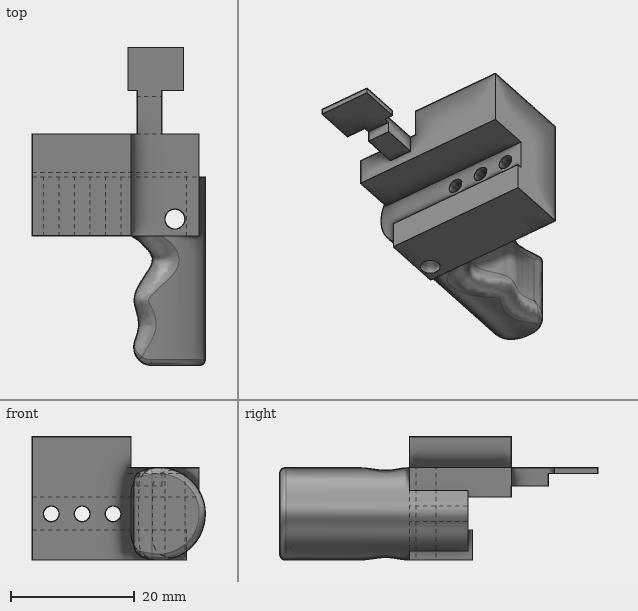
import cadquery as cq


BLOCK_WIDTH = 27.0
BLOCK_DEPTH = 16.5
BLOCK_HEIGHT = 15.0
RAISED_WIDTH = 16.0
TOTAL_HEIGHT = 20.0

BASE_WIDTH = 25.0
BASE_DEPTH = 9.5
OVERHANG_Z = 10.2
LIP_DEPTH = 10.25
LIP_HEIGHT = 4.9

TONGUE_LENGTH = 14.0
TONGUE_END = BLOCK_DEPTH + TONGUE_LENGTH
TAB_LENGTH = 7.0
TAB_LEFT = 15.5
TAB_WIDTH = 9.0
TAB_THICKNESS = 1.0
NECK_LEFT = 17.0
NECK_WIDTH = 4.0
NECK_THICKNESS = 3.0
THICK_NECK_LENGTH = 6.0

FRONT_HOLE_DIAMETER = 2.5
FRONT_HOLE_COUNT = 3
FRONT_HOLE_FIRST_X = 3.1
FRONT_HOLE_PITCH = 5.0
FRONT_HOLE_Z = BLOCK_HEIGHT / 2
TOP_HOLE_DIAMETER = 3.2
TOP_HOLE_X = 23.1
TOP_HOLE_Y = 2.7

HANDLE_RADIUS = BLOCK_HEIGHT / 2
HANDLE_AXIS_X = 20.53
HANDLE_AXIS_Z = BLOCK_HEIGHT / 2
HANDLE_LENGTH = 21.0
GRIP_FILLET = 3.0
END_FILLET = 1.0

GRIP_CURVE = [
    (RAISED_WIDTH, 0),
    (18.2, -1.65),
    (19.45, -3.6),
    (18.2, -6.5),
    (16.5, -10.6),
    (17.25, -14.5),
    (16.6, -17.0),
    (15.2, -HANDLE_LENGTH),
]
GRIP_START_DIRECTION = (1, -0.5)
GRIP_END_DIRECTION = (-0.36, -1)


def box(x, y, z, width, depth, height):
    """Box whose left, front, bottom corner is at (x, y, z)."""
    return cq.Workplane("XY").box(width, depth, height, centered=False).translate((x, y, z))


def make_block():
    upper = box(0, 0, OVERHANG_Z, BLOCK_WIDTH, BLOCK_DEPTH, BLOCK_HEIGHT - OVERHANG_Z)
    raised = box(0, 0, OVERHANG_Z, RAISED_WIDTH, BLOCK_DEPTH, TOTAL_HEIGHT - OVERHANG_Z)
    base = box(0, 0, 0, BASE_WIDTH, BASE_DEPTH, OVERHANG_Z)
    lip = box(0, 0, 0, BASE_WIDTH, LIP_DEPTH, LIP_HEIGHT)
    return upper.union(raised).union(base).union(lip)


def make_tongue():
    tab_z = BLOCK_HEIGHT - TAB_THICKNESS
    tab = box(TAB_LEFT, TONGUE_END - TAB_LENGTH, tab_z, TAB_WIDTH, TAB_LENGTH, TAB_THICKNESS)
    thin_neck = box(NECK_LEFT, BLOCK_DEPTH, tab_z, NECK_WIDTH, TONGUE_LENGTH, TAB_THICKNESS)
    neck_z = BLOCK_HEIGHT - NECK_THICKNESS
    thick_neck = box(NECK_LEFT, BLOCK_DEPTH, neck_z, NECK_WIDTH, THICK_NECK_LENGTH, NECK_THICKNESS)
    return tab.union(thin_neck).union(thick_neck)


def handle_cylinder(y_front, y_back):
    """Round bar of the handle between two Y positions."""
    return (
        cq.Workplane("XZ", origin=(HANDLE_AXIS_X, y_back, HANDLE_AXIS_Z))
        .circle(HANDLE_RADIUS)
        .extrude(y_back - y_front)
    )


def make_grip():
    """Part of the handle in front of the block."""
    plan_right = HANDLE_AXIS_X + 2 * HANDLE_RADIUS
    plan = (
        cq.Workplane("XY")
        .moveTo(*GRIP_CURVE[0])
        .spline(
            GRIP_CURVE[1:],
            tangents=[GRIP_START_DIRECTION, GRIP_END_DIRECTION],
            includeCurrent=True,
        )
        .lineTo(plan_right, -HANDLE_LENGTH)
        .lineTo(plan_right, 0)
        .close()
        .extrude(BLOCK_HEIGHT)
    )
    grip = handle_cylinder(-HANDLE_LENGTH, 0).intersect(plan)
    grip = grip.faces("%EXTRUSION").edges("not >Y").fillet(GRIP_FILLET)
    grip = grip.faces("<Y").edges("%CIRCLE").fillet(END_FILLET)
    return grip


def make_handle_root():
    """Part of the handle sunk into the block, as wide as the grip is where it meets the block."""
    trim = box(RAISED_WIDTH, 0, 0, 2 * HANDLE_RADIUS, BASE_DEPTH, BLOCK_HEIGHT)
    return handle_cylinder(0, BASE_DEPTH).intersect(trim)


def make_front_holes():
    centers = [
        (FRONT_HOLE_FIRST_X + i * FRONT_HOLE_PITCH, FRONT_HOLE_Z)
        for i in range(FRONT_HOLE_COUNT)
    ]
    return (
        cq.Workplane("XZ", origin=(0, BLOCK_DEPTH, 0))
        .pushPoints(centers)
        .circle(FRONT_HOLE_DIAMETER / 2)
        .extrude(BLOCK_DEPTH)
    )


def make_top_hole():
    return (
        cq.Workplane("XY")
        .center(TOP_HOLE_X, TOP_HOLE_Y)
        .circle(TOP_HOLE_DIAMETER / 2)
        .extrude(BLOCK_HEIGHT)
    )


body = make_block().union(make_tongue()).union(make_grip()).union(make_handle_root())
result = body.cut(make_front_holes()).cut(make_top_hole())